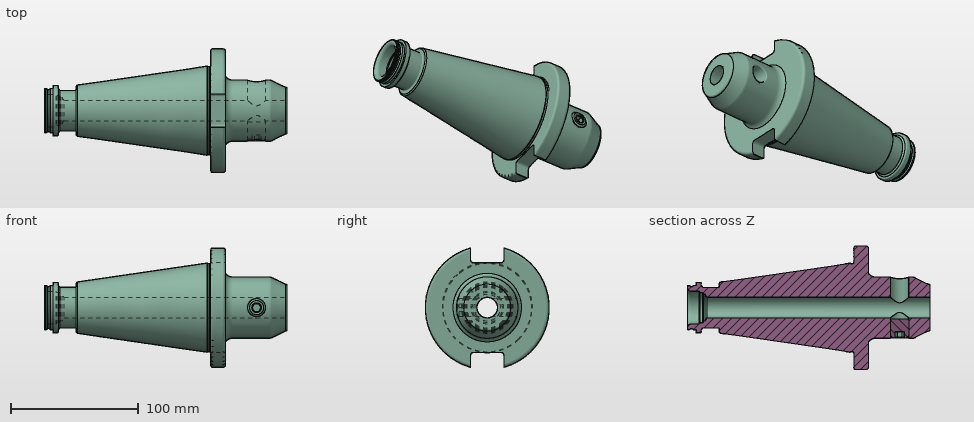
import cadquery as cq
import math

length = 189.8
lip_radius = 17.5
lip_chamfer = 0.5
mouth_radius = 15.8
groove_radius = 16.5
groove_start = 1.5
groove_end = 5.0
groove_slope = 1.1
collar_start = 6.8
collar_end = 11.0
collar_radius = 19.7
collar_rear_slope = 1.1
collar_rounding = 1.0
neck_radius = 16.0
neck_fillet = 0.5

taper_start = 24.9
gauge_plane = 127.2
gauge_radius = 35.0
taper_ratio = 7 / 24
taper_tip_radius = gauge_radius - (gauge_plane - taper_start) * taper_ratio / 2
taper_tip_chamfer = 1.0
relief_radius = 34.5
relief_slope = 0.5
relief_fillet = 0.8

flange_start = 130.0
flange_end = 141.8
flange_radius = 97.0 / 2
flange_front_fillet = 1.7
flange_rear_fillet = 2.3
slot_width = 25.8
slot_floor = 35.1
slot_fillet = 2.0
slot_chamfer = 0.4

nose_radius = 48.0 / 2
nose_root_radius = 26.8
nose_start = 147.1
nose_end = 176.3
nose_blend = 1.1
cone_angle = 26.0
nose_edge = 1.3

bore_radius = 8.0
counterbore_radius = 12.7
counterbore_depth = 9.3
recess_radius = 11.8
recess_end = 12.0
thread_radius = 10.5
thread_end = 13.9
step_slope = math.tan(math.radians(60))

screw_x = 165.9
screw_radius = 7.0
screw_face = 23.7
screw_chamfer = 1.5
screw_inner_end = 8.7
hex_flats = 6.0
hex_depth = 4.7
hex_countersink_radius = 3.8
screw_hole_fillet = 0.8
screw_hole_overrun = 1.9


def make_outer_body():
    blend_drop = nose_blend * math.tan(math.radians(cone_angle / 2))
    cone_start = nose_end + nose_blend
    cone_start_radius = nose_radius - blend_drop
    cone_end = length - nose_edge
    cone_end_radius = cone_start_radius - (cone_end - cone_start) * math.tan(math.radians(cone_angle))
    face_radius = cone_end_radius - nose_edge
    tip_flank = taper_tip_radius + taper_tip_chamfer * taper_ratio / 2
    neck_start = collar_end + collar_rear_slope
    root_run = nose_start - flange_end
    root_rise = nose_root_radius - nose_radius
    root_arc = (root_run**2 + root_rise**2) / (2 * root_rise)
    half_turn = math.asin(root_run / root_arc) / 2
    root_mid = (
        nose_start - root_arc * math.sin(half_turn),
        nose_radius + root_arc * (1 - math.cos(half_turn)),
    )
    profile = (
        cq.Workplane("XZ")
        .moveTo(0, 0)
        .lineTo(0, lip_radius - lip_chamfer)
        .lineTo(lip_chamfer, lip_radius)
        .lineTo(groove_start, lip_radius)
        .lineTo(groove_start + groove_slope, groove_radius)
        .lineTo(groove_end - groove_slope, groove_radius)
        .lineTo(groove_end, lip_radius)
        .lineTo(collar_start, lip_radius)
        .lineTo(collar_start, collar_radius)
        .lineTo(collar_end - collar_rounding, collar_radius)
        .radiusArc((collar_end, collar_radius - collar_rounding), collar_rounding)
        .lineTo(collar_end, lip_radius)
        .lineTo(neck_start, neck_radius)
        .lineTo(taper_start - neck_fillet, neck_radius)
        .radiusArc((taper_start, neck_radius + neck_fillet), -neck_fillet)
        .lineTo(taper_start, taper_tip_radius - taper_tip_chamfer)
        .lineTo(taper_start + taper_tip_chamfer, tip_flank)
        .lineTo(gauge_plane, gauge_radius)
        .lineTo(gauge_plane + relief_slope, relief_radius)
        .lineTo(flange_start - relief_fillet, relief_radius)
        .radiusArc((flange_start, relief_radius + relief_fillet), -relief_fillet)
        .lineTo(flange_start, flange_radius - flange_front_fillet)
        .radiusArc((flange_start + flange_front_fillet, flange_radius), flange_front_fillet)
        .lineTo(flange_end - flange_rear_fillet, flange_radius)
        .radiusArc((flange_end, flange_radius - flange_rear_fillet), flange_rear_fillet)
        .lineTo(flange_end, nose_root_radius)
        .threePointArc(root_mid, (nose_start, nose_radius))
        .lineTo(nose_end, nose_radius)
        .lineTo(cone_start, cone_start_radius)
        .lineTo(cone_end, cone_end_radius)
        .radiusArc((length, face_radius), nose_edge)
        .lineTo(length, 0)
        .close()
    )
    return profile.revolve(360, (0, 0, 0), (1, 0, 0))


def make_bore():
    mouth_flare = mouth_radius - counterbore_radius
    recess_start = counterbore_depth + (counterbore_radius - recess_radius) / step_slope
    thread_start = recess_end + (recess_radius - thread_radius) / step_slope
    tip_end = thread_end + (thread_radius - bore_radius) / step_slope
    profile = (
        cq.Workplane("XZ")
        .moveTo(0, 0)
        .lineTo(0, mouth_radius)
        .radiusArc((mouth_flare, counterbore_radius), -mouth_flare)
        .lineTo(counterbore_depth, counterbore_radius)
        .lineTo(recess_start, recess_radius)
        .lineTo(recess_end, recess_radius)
        .lineTo(thread_start, thread_radius)
        .lineTo(thread_end, thread_radius)
        .lineTo(tip_end, bore_radius)
        .lineTo(length, bore_radius)
        .lineTo(length, 0)
        .close()
    )
    return profile.revolve(360, (0, 0, 0), (1, 0, 0))


def make_slot(side):
    half_width = slot_width / 2
    rim_height = math.sqrt(flange_radius**2 - half_width**2)
    chamfer_foot = rim_height - slot_chamfer
    top = flange_radius
    half_top = half_width + top - chamfer_foot
    outline = [
        (-half_width, slot_floor),
        (half_width, slot_floor),
        (half_width, chamfer_foot),
        (half_top, top),
        (-half_top, top),
        (-half_width, chamfer_foot),
    ]
    slot = (
        cq.Workplane("YZ", origin=(flange_start, 0, 0))
        .polyline(outline)
        .close()
        .extrude(flange_end - flange_start)
        .edges("|X and <Z")
        .fillet(slot_fillet)
    )
    return slot if side > 0 else slot.mirror("XY")


def cut_screw_hole(body):
    """Cut the cross hole through both walls of the nose and round its two rims."""
    hole = (
        cq.Workplane("XZ", origin=(screw_x, 0, 0))
        .circle(screw_radius)
        .extrude(nose_radius + screw_hole_overrun, both=True)
    )
    margin = screw_radius + screw_hole_overrun
    reach = nose_radius + screw_hole_overrun
    around_rims = cq.selectors.BoxSelector(
        (screw_x - margin, -reach, -margin),
        (screw_x + margin, reach, margin),
        boundingbox=True,
    )
    return body.cut(hole).edges(around_rims).fillet(screw_hole_fillet)


def make_holder():
    holder = cut_screw_hole(make_outer_body())
    holder = holder.cut(make_bore())
    for side in (1, -1):
        holder = holder.cut(make_slot(side))
    return holder


def make_clamping_screw():
    hex_across_corners = hex_flats / math.cos(math.radians(30))
    outward = cq.Workplane("XZ", origin=(screw_x, -screw_inner_end, 0))
    screw = (
        outward.circle(screw_radius)
        .extrude(screw_face - screw_inner_end)
        .faces("<Y")
        .edges()
        .chamfer(screw_chamfer)
    )
    face = cq.Workplane("XZ", origin=(screw_x, -screw_face, 0))
    socket = face.polygon(6, hex_across_corners).extrude(-hex_depth)
    countersink_depth = hex_countersink_radius - hex_flats / 2
    countersink = cq.Workplane(
        cq.Solid.makeCone(
            hex_countersink_radius,
            hex_flats / 2,
            countersink_depth,
            pnt=cq.Vector(screw_x, -screw_face, 0),
            dir=cq.Vector(0, 1, 0),
        )
    )
    return screw.cut(socket).cut(countersink)


holder = make_holder()
clamping_screw = make_clamping_screw()
result = cq.Compound.makeCompound([holder.val(), clamping_screw.val()])